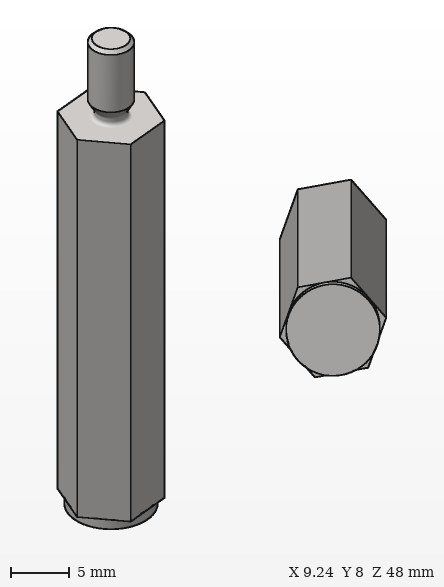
import cadquery as cq
import math

total_length = 48.0
across_flats = 8.0
across_corners = across_flats / math.cos(math.radians(30))

collar_radius = across_flats / 2
collar_height = 1.0

stud_length = 8.0
stud_radius = 4.0 / 2
tip_radius = 3.25 / 2
tip_chamfer = stud_radius - tip_radius

undercut_length = 1.75
neck_radius = 2.9 / 2
neck_fillet = 0.4
taper_angle = math.radians(30)

shoulder_z = total_length - stud_length
taper_top_z = shoulder_z + undercut_length
taper_bottom_z = taper_top_z - (stud_radius - neck_radius) / math.tan(taper_angle)


def make_body():
    """Hexagonal bar standing on its round collar, with corners along X."""
    collar = cq.Workplane("XY").circle(collar_radius).extrude(collar_height)
    hexagon = (
        cq.Workplane("XY")
        .workplane(offset=collar_height)
        .polygon(6, across_corners)
        .extrude(shoulder_z - collar_height)
    )
    return collar.union(hexagon)


def make_stud():
    """Revolved stud with a chamfered tip and a filleted, tapered undercut."""
    tangent_length = neck_fillet * math.tan(taper_angle / 2)
    arc_start_z = taper_bottom_z - tangent_length
    arc_middle = (
        neck_radius + neck_fillet * (1 - math.cos(taper_angle / 2)),
        arc_start_z + neck_fillet * math.sin(taper_angle / 2),
    )
    arc_end = (
        neck_radius + tangent_length * math.sin(taper_angle),
        taper_bottom_z + tangent_length * math.cos(taper_angle),
    )

    base_middle_offset = neck_fillet * (1 - math.sqrt(0.5))
    base_middle = (neck_radius + base_middle_offset, shoulder_z + base_middle_offset)

    profile = (
        cq.Workplane("XZ")
        .moveTo(0, shoulder_z)
        .lineTo(neck_radius + neck_fillet, shoulder_z)
        .threePointArc(base_middle, (neck_radius, shoulder_z + neck_fillet))
        .lineTo(neck_radius, arc_start_z)
        .threePointArc(arc_middle, arc_end)
        .lineTo(stud_radius, taper_top_z)
        .lineTo(stud_radius, total_length - tip_chamfer)
        .lineTo(tip_radius, total_length)
        .lineTo(0, total_length)
        .close()
    )
    return profile.revolve(360, (0, 0, 0), (0, 1, 0))


result = make_body().union(make_stud())